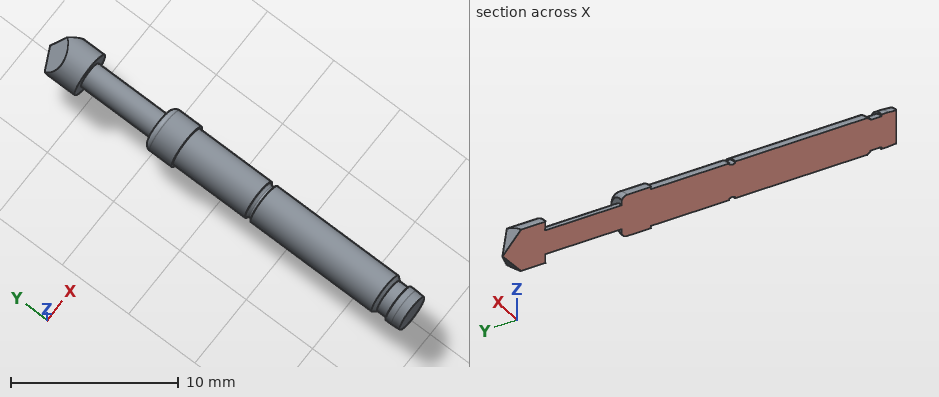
import cadquery as cq

LENGTH = 27.3
HEAD_DIAMETER = 3.0
HEAD_END = 3.0
SHANK_DIAMETER = 1.75
COLLAR_START = 8.27
COLLAR_END = 10.32
COLLAR_EDGE_LENGTH = 0.38
COLLAR_EDGE_DEPTH = 0.27
COLLAR_EDGE_RADIUS = 0.4
BODY_DIAMETER = 2.68
GROOVE_START = 15.72
GROOVE_WIDTH = 0.4
GROOVE_DIAMETER = 2.35
GROOVE_FLOOR_DEPTH = 0.08
GROOVE_FLOOR_RADIUS = 0.3
BODY_END = 25.53
BODY_CHAMFER_LENGTH = 0.25
BODY_CHAMFER_DEPTH = 0.2
NECK_DIAMETER = 2.25
TAIL_START = 26.25
TAIL_DIAMETER = 2.5
TAIL_TAPER_LENGTH = 0.6
TAIL_END_DIAMETER = 2.43

HEAD_RADIUS = HEAD_DIAMETER / 2

FACE_COUNT = 3
FACE_DROP = HEAD_RADIUS

TIP_Y = LENGTH / 2


def station(distance):
    """Y coordinate at a distance from the tip."""
    return TIP_Y - distance


def cylinder(diameter, start, end):
    """Round section of the pin between two stations."""
    return (
        cq.Workplane("XZ", origin=(0, station(start), 0))
        .circle(diameter / 2)
        .extrude(end - start)
    )


def pointed_head():
    """Round head whose end is cut by three inclined planes meeting on the axis."""
    head = cylinder(HEAD_DIAMETER, 0, HEAD_END)
    reach = 2 * HEAD_RADIUS
    drop = 2 * FACE_DROP
    cutter = (
        cq.Workplane("XY")
        .polyline([(0, TIP_Y), (reach, TIP_Y - drop), (reach, TIP_Y)])
        .close()
        .extrude(2 * HEAD_DIAMETER, both=True)
    )
    for face in range(FACE_COUNT):
        angle = face * 360 / FACE_COUNT
        head = head.cut(cutter.rotate((0, 0, 0), (0, 1, 0), angle))
    return head


def collar():
    """Collar with a rounded front edge that meets its front face at an angle."""
    return (
        cq.Workplane("XY")
        .moveTo(0, station(COLLAR_START))
        .lineTo(HEAD_RADIUS - COLLAR_EDGE_DEPTH, station(COLLAR_START))
        .radiusArc((HEAD_RADIUS, station(COLLAR_START + COLLAR_EDGE_LENGTH)), COLLAR_EDGE_RADIUS)
        .lineTo(HEAD_RADIUS, station(COLLAR_END))
        .lineTo(0, station(COLLAR_END))
        .close()
        .revolve(360, (0, 0, 0), (0, 1, 0))
    )


def body():
    """Barrel with a hollow-floored groove and a chamfered rear edge."""
    barrel = (
        cylinder(BODY_DIAMETER, COLLAR_END, BODY_END)
        .faces("<Y")
        .chamfer(BODY_CHAMFER_LENGTH, BODY_CHAMFER_DEPTH)
    )
    groove_end = GROOVE_START + GROOVE_WIDTH
    groove_middle = GROOVE_START + GROOVE_WIDTH / 2
    bottom_radius = GROOVE_DIAMETER / 2
    shoulder_radius = bottom_radius + GROOVE_FLOOR_DEPTH
    groove = (
        cq.Workplane("XY")
        .moveTo(BODY_DIAMETER / 2, station(GROOVE_START))
        .lineTo(shoulder_radius, station(GROOVE_START))
        .radiusArc((bottom_radius, station(groove_middle)), -GROOVE_FLOOR_RADIUS)
        .radiusArc((shoulder_radius, station(groove_end)), -GROOVE_FLOOR_RADIUS)
        .lineTo(BODY_DIAMETER / 2, station(groove_end))
        .close()
        .revolve(360, (0, 0, 0), (0, 1, 0))
    )
    return barrel.cut(groove)


def tail():
    """Neck and slightly tapered end knob."""
    neck = cylinder(NECK_DIAMETER, BODY_END, TAIL_START)
    knob = (
        cylinder(TAIL_DIAMETER, TAIL_START, LENGTH)
        .faces("<Y")
        .chamfer(TAIL_TAPER_LENGTH, (TAIL_DIAMETER - TAIL_END_DIAMETER) / 2)
    )
    return neck.union(knob)


shank = cylinder(SHANK_DIAMETER, HEAD_END, COLLAR_START)
result = pointed_head().union(shank).union(collar()).union(body()).union(tail())